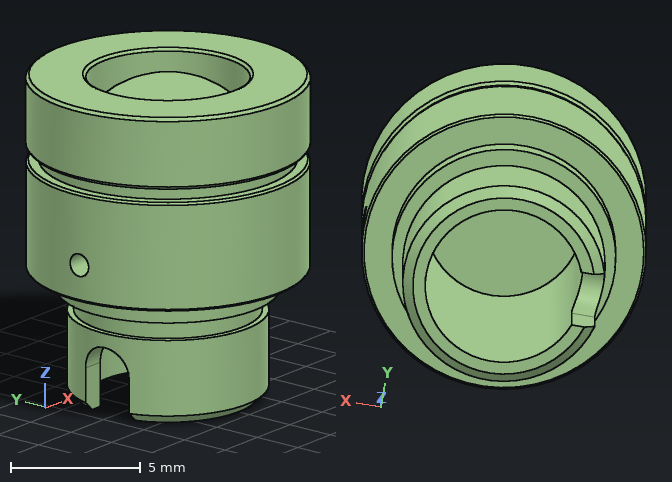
import cadquery as cq
import math

TOTAL_HEIGHT = 13.0
SLEEVE_TOP = 3.46
RELIEF_TOP = 4.3
COLLAR_BOTTOM = 5.15
COLLAR_TOP = 9.55
FLANGE_BOTTOM = 10.09
SCREW_AXIS_HEIGHT = 6.64

FLANGE_DIAMETER = 11.0
NECK_DIAMETER = 9.98
BARREL_DIAMETER = 8.63
RELIEF_DIAMETER = 7.29
SLEEVE_DIAMETER = 7.8
LENS_BORE_DIAMETER = 6.35
LOWER_BORE_DIAMETER = 6.07

FLANGE_CHAMFER = 0.13
BORE_CHAMFER = 0.12
SLEEVE_CHAMFER = 0.39

SLOT_WIDTH = 2.13
SLOT_HEIGHT = 2.89

COLLAR_DIAMETER = 10.97
COLLAR_CHAMFER = 0.09
SCREW_HOLE_DIAMETER = 0.91
GROOVE_WIDTH = 1.27
GROOVE_DEPTH = GROOVE_WIDTH / 2

DOME_RADIUS = 4.03
DOME_APEX_DEPTH = 0.12
LENS_EDGE_THICKNESS = 1.3
LENS_APEX = TOTAL_HEIGHT - DOME_APEX_DEPTH
DOME_CENTER = LENS_APEX - DOME_RADIUS
LENS_RIM = DOME_CENTER + math.sqrt(DOME_RADIUS**2 - (LENS_BORE_DIAMETER / 2) ** 2)
LENS_SEAT = LENS_RIM - LENS_EDGE_THICKNESS


def cylinder(diameter, bottom, top):
    """Upright cylinder on the Z axis between two heights."""
    return cq.Workplane("XY").workplane(offset=bottom).circle(diameter / 2).extrude(top - bottom)


def v_groove():
    """Ring of triangular section that cuts the groove around the barrel."""
    barrel_radius = BARREL_DIAMETER / 2
    return (
        cq.Workplane("XZ")
        .moveTo(barrel_radius, SCREW_AXIS_HEIGHT - GROOVE_WIDTH / 2)
        .lineTo(barrel_radius, SCREW_AXIS_HEIGHT + GROOVE_WIDTH / 2)
        .lineTo(barrel_radius - GROOVE_DEPTH, SCREW_AXIS_HEIGHT)
        .close()
        .revolve(360, (0, 0, 0), (0, 1, 0))
    )


def sleeve_slot():
    """Round-topped slot, open at the bottom, through the -X wall of the sleeve."""
    half_width = SLOT_WIDTH / 2
    straight_height = SLOT_HEIGHT - half_width
    return (
        cq.Workplane("YZ")
        .moveTo(-half_width, 0)
        .lineTo(-half_width, straight_height)
        .threePointArc((0, SLOT_HEIGHT), (half_width, straight_height))
        .lineTo(half_width, 0)
        .close()
        .extrude(-SLEEVE_DIAMETER)
    )


def make_holder():
    """Flanged, stepped tube that carries the collar and the lens."""
    flange = cylinder(FLANGE_DIAMETER, FLANGE_BOTTOM, TOTAL_HEIGHT).edges().chamfer(FLANGE_CHAMFER)
    neck = cylinder(NECK_DIAMETER, COLLAR_TOP, FLANGE_BOTTOM)
    barrel = cylinder(BARREL_DIAMETER, RELIEF_TOP, COLLAR_TOP)
    relief = cylinder(RELIEF_DIAMETER, SLEEVE_TOP, RELIEF_TOP)
    sleeve = cylinder(SLEEVE_DIAMETER, 0, SLEEVE_TOP).faces("<Z").edges().chamfer(SLEEVE_CHAMFER)
    body = flange.union(neck).union(barrel).union(relief).union(sleeve)

    body = body.cut(cylinder(LENS_BORE_DIAMETER, LENS_SEAT, TOTAL_HEIGHT))
    body = body.cut(cylinder(LOWER_BORE_DIAMETER, 0, LENS_SEAT))
    body = body.faces(">Z").edges(cq.selectors.RadiusNthSelector(0)).chamfer(BORE_CHAMFER)
    return body.cut(v_groove()).cut(sleeve_slot())


def make_collar():
    """Ring around the barrel with two opposite screw holes along X."""
    ring = cylinder(COLLAR_DIAMETER, COLLAR_BOTTOM, COLLAR_TOP).edges().chamfer(COLLAR_CHAMFER)
    ring = ring.cut(cylinder(BARREL_DIAMETER, COLLAR_BOTTOM, COLLAR_TOP))
    screw_holes = (
        cq.Workplane("YZ")
        .center(0, SCREW_AXIS_HEIGHT)
        .circle(SCREW_HOLE_DIAMETER / 2)
        .extrude(COLLAR_DIAMETER / 2, both=True)
    )
    return ring.cut(screw_holes)


def make_lens():
    """Lens resting on the step in the bore, with a spherical top and a flat bottom."""
    blank = cylinder(LENS_BORE_DIAMETER, LENS_SEAT, LENS_APEX)
    ball = cq.Workplane("XY").sphere(DOME_RADIUS).translate((0, 0, DOME_CENTER))
    return blank.intersect(ball)


holder = make_holder()
collar = make_collar()
lens = make_lens()

result = cq.Compound.makeCompound([holder.val(), collar.val(), lens.val()])